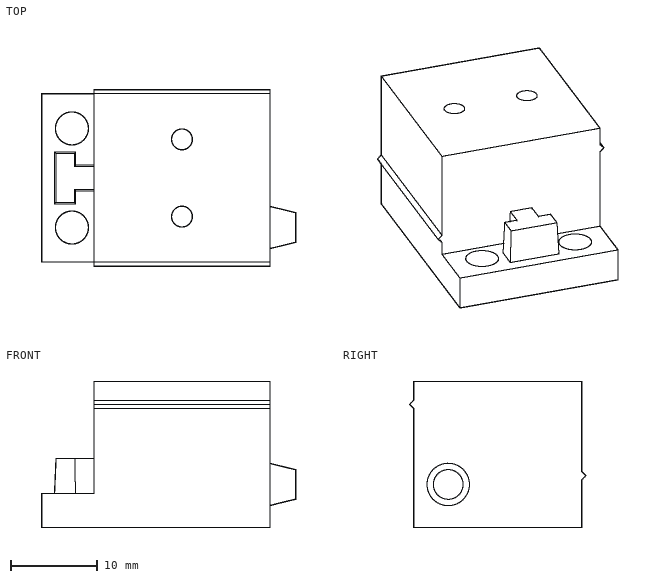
import cadquery as cq

total_length = 29.5
pin_length = 2.98
block_length = total_length - pin_length
block_width = 19.55
block_height = 17.0
half_width = block_width / 2

flange_length = 6.05
flange_height = 3.98
flange_hole_diameter = 3.8
flange_hole_x = 3.5
flange_hole_y = 5.75

body_hole_diameter = 2.4
body_hole_x = (flange_length + block_length) / 2
body_hole_y = 4.48

ridge_depth = 0.47
ridge_half_height = ridge_depth
front_ridge_z = 14.3
back_ridge_z = 6.05

pin_y = -5.75
pin_z = 5.02
pin_base_diameter = 4.93
pin_tip_diameter = 3.45

key_height = 4.07
key_left = 1.48
key_cap_length = 2.45
key_cap_width = 6.02
key_stem_width = 3.0
key_draft = 0.18
key_back_draft = 0.1
key_stem_overlap = 0.3


def make_block():
    """Stepped block extruded across its width."""
    return (
        cq.Workplane("XZ")
        .moveTo(0, 0)
        .lineTo(block_length, 0)
        .lineTo(block_length, block_height)
        .lineTo(flange_length, block_height)
        .lineTo(flange_length, flange_height)
        .lineTo(0, flange_height)
        .close()
        .extrude(half_width, both=True)
    )


def make_ridge(side, center_z):
    """Triangular ridge on the side wall; side is -1 for -Y and 1 for +Y."""
    wall_y = side * half_width
    return (
        cq.Workplane("YZ", origin=(flange_length, 0, 0))
        .moveTo(wall_y, center_z - ridge_half_height)
        .lineTo(wall_y + side * ridge_depth, center_z)
        .lineTo(wall_y, center_z + ridge_half_height)
        .close()
        .extrude(block_length - flange_length)
    )


def make_pin():
    """Truncated cone pointing along +X."""
    return (
        cq.Workplane("YZ", origin=(block_length, pin_y, pin_z))
        .circle(pin_base_diameter / 2)
        .workplane(offset=pin_length)
        .circle(pin_tip_diameter / 2)
        .loft()
    )


def key_outline(draft, back_draft):
    """Corners of the T drawn in by the given drafts; the stem ends inside the body."""
    left = key_left + draft
    cap_right = key_left + key_cap_length - back_draft
    stem_end = flange_length + key_stem_overlap
    half_cap = key_cap_width / 2 - draft
    half_stem = key_stem_width / 2 - draft
    return [
        (left, -half_cap),
        (cap_right, -half_cap),
        (cap_right, -half_stem),
        (stem_end, -half_stem),
        (stem_end, half_stem),
        (cap_right, half_stem),
        (cap_right, half_cap),
        (left, half_cap),
    ]


def make_key():
    """T-shaped key narrowing from the flange to its top."""
    return (
        cq.Workplane("XY", origin=(0, 0, flange_height))
        .polyline(key_outline(0, 0))
        .close()
        .workplane(offset=key_height)
        .polyline(key_outline(key_draft, key_back_draft))
        .close()
        .loft(ruled=True)
    )


def make_hole_pair(x, y, diameter):
    """Two full-height cutters placed symmetrically about the XZ plane."""
    return (
        cq.Workplane("XY")
        .pushPoints([(x, -y), (x, y)])
        .circle(diameter / 2)
        .extrude(block_height)
    )


result = (
    make_block()
    .union(make_ridge(-1, front_ridge_z))
    .union(make_ridge(1, back_ridge_z))
    .union(make_pin())
    .union(make_key())
    .cut(make_hole_pair(flange_hole_x, flange_hole_y, flange_hole_diameter))
    .cut(make_hole_pair(body_hole_x, body_hole_y, body_hole_diameter))
)